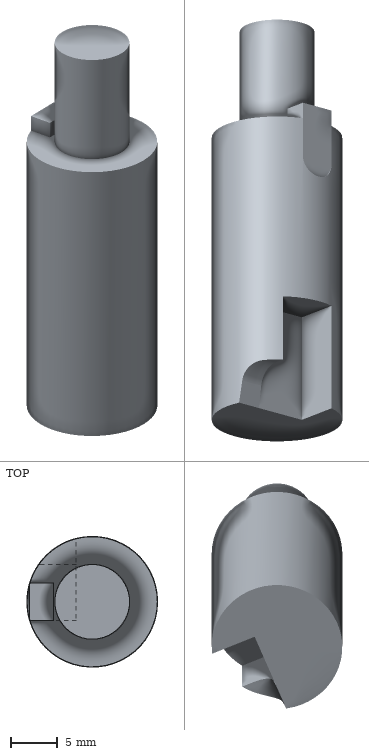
import cadquery as cq
import math

barrel_diameter = 14.0
barrel_radius = barrel_diameter / 2
barrel_height = 32.0

shaft_diameter = 8.0
total_height = 44.0
shaft_height = total_height - barrel_height

key_width = 4.0
key_height = 8.0
key_thickness = 2.55
key_bottom = 25.75
key_outer_x = -math.sqrt(barrel_radius**2 - (key_width / 2) ** 2)
key_inner_x = key_outer_x + key_thickness

slot_right_y = -key_width / 2
slot_left_y = shaft_diameter / 2
slot_height = 11.6
slot_floor_x = -1.75

recess_height = 4.45
recess_lean = math.radians(9)
recess_corner_radius = 2.38

clearance = 0.45
cut_start_x = -barrel_radius - clearance


def make_key(outer_x):
    """Solid with the key outline, from outer_x in to the inner face of the key."""
    radius = key_width / 2
    shoulder_z = key_bottom + radius
    top_z = key_bottom + key_height
    return (
        cq.Workplane("YZ", origin=(outer_x, 0, 0))
        .moveTo(-radius, top_z)
        .lineTo(-radius, shoulder_z)
        .threePointArc((0, key_bottom), (radius, shoulder_z))
        .lineTo(radius, top_z)
        .close()
        .extrude(key_inner_x - outer_x)
    )


def make_entry_slot():
    """Rectangular cutting block for the entry slot."""
    return cq.Workplane("XY").box(
        slot_floor_x - cut_start_x, slot_left_y - slot_right_y, slot_height, centered=False
    ).translate((cut_start_x, slot_right_y, 0))


def make_side_recess():
    """Cutting prism with a leaning back wall rounded into a flat ceiling."""
    corner_x = slot_floor_x - recess_height * math.tan(recess_lean)
    length = barrel_radius + clearance - slot_left_y
    prism = (
        cq.Workplane("XZ", origin=(0, slot_left_y, 0))
        .moveTo(cut_start_x, 0)
        .lineTo(slot_floor_x, 0)
        .lineTo(corner_x, recess_height)
        .lineTo(cut_start_x, recess_height)
        .close()
        .extrude(-length)
    )
    return prism.edges("|Y").edges(">Z").edges(">X").fillet(recess_corner_radius)


def make_barrel():
    """Cylinder with the key seat, the entry slot and the side recess cut out."""
    return (
        cq.Workplane("XY")
        .circle(barrel_radius)
        .extrude(barrel_height)
        .cut(make_key(cut_start_x))
        .cut(make_entry_slot())
        .cut(make_side_recess())
    )


def make_shaft():
    """Plain round shaft above the barrel."""
    return cq.Workplane("XY", origin=(0, 0, barrel_height)).circle(shaft_diameter / 2).extrude(shaft_height)


barrel = make_barrel()
shaft = make_shaft()
key = make_key(key_outer_x)

result = cq.Compound.makeCompound([barrel.val(), shaft.val(), key.val()])